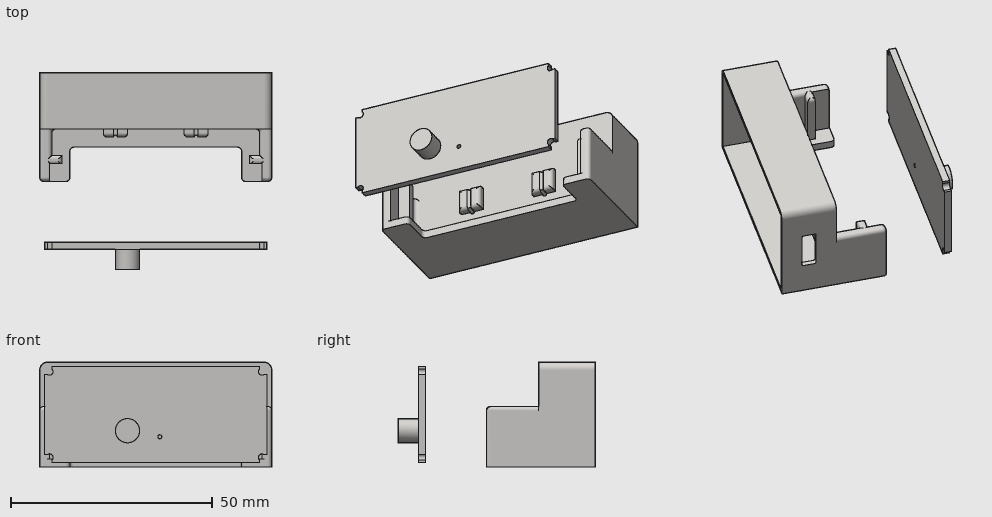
import cadquery as cq
import math


width = 57.5
box_height = 26.0
box_depth = 14.0
box_top_radius = 2.0
tray_depth = 13.0
tray_height = 15.0
tray_floor = 2.0
tray_wall = 3.0
edge_radius = 1.0
housing_depth = box_depth + tray_depth
half_width = width / 2
tray_half_width = half_width - tray_wall

side_wall = 1.25
cover_wall = 1.0
partition = 1.25

foot_width = 7.5
cutout_width = width - 2 * foot_width
cutout_depth = 8.5

rail_back = box_depth + 6.5
rail_width = 2.4
rail_reach = 5.55
relief_back = box_depth + 8.5
relief_wall = 2.5

clip_width = 6.0
clip_height = 6.0
clip_reach = 2.0
clip_base = 7.0
clip_spacing = 20.0
groove_radius = 0.5
clip_radius = 1.0

window_depth = 3.7
window_height = 9.7
window_from_back = 6.9
window_middle = box_height / 2
window_radius = 0.5

plate_width = 55.0
plate_height = 23.8
plate_thickness = 1.8
plate_back = 42.0
plate_middle = box_height / 2
notch_width = 1.75
notch_height = 1.95
notch_round_radius = 0.86
notch_round_inset_x = 1.2
notch_round_inset_z = 1.3
knob_diameter = 6.0
knob_x = -7.0
knob_z = 9.0
knob_front = 48.8
pinhole_diameter = 1.0
pinhole_x = 1.0
pinhole_z = 7.5


def block(x_range, depth_range, z_range):
    """Box between two X values, two depths measured from the back, and two Z values."""
    x_low, x_high = x_range
    near_back, near_front = depth_range
    z_low, z_high = z_range
    return (
        cq.Workplane("XY")
        .box(x_high - x_low, near_front - near_back, z_high - z_low, centered=False)
        .translate((x_low, -near_front, z_low))
    )


def box_shell():
    """Round-topped box, before the cavity is cut."""
    outer = block((-half_width, half_width), (0, box_depth), (0, box_height))
    return outer.edges("|Y and >Z").fillet(box_top_radius)


def cavity():
    """Hollow of the box, open at the back."""
    inner_half = half_width - side_wall
    return block(
        (-inner_half, inner_half),
        (0, box_depth - partition),
        (cover_wall, box_height - cover_wall),
    )


def window():
    """Upright window with rounded corners through the -X wall of the box."""
    return (
        block(
            (-half_width, -half_width + side_wall),
            (window_from_back - window_depth / 2, window_from_back + window_depth / 2),
            (window_middle - window_height / 2, window_middle + window_height / 2),
        )
        .edges("|X")
        .fillet(window_radius)
    )


def tray_floor_plate():
    """Tray floor, cut out at the front between two feet, with rounded upright corners."""
    floor = block((-half_width, half_width), (box_depth, housing_depth), (0, tray_floor))
    cutout = block(
        (-cutout_width / 2, cutout_width / 2),
        (housing_depth - cutout_depth, housing_depth),
        (0, tray_floor),
    )
    return floor.cut(cutout).edges("|Z and (not >Y)").fillet(edge_radius)


def wall_blend():
    """Rounded inner corner between the -X tray wall and the box, flaring out into the wall's top edge."""
    axis_x = -tray_half_width + edge_radius
    axis_depth = box_depth + edge_radius
    corner = block((axis_x - 2 * edge_radius, axis_x), (box_depth, axis_depth), (0, tray_height))
    flare_start = tray_height - edge_radius
    flare_middle = (
        edge_radius * (2 - math.sqrt(0.5)),
        flare_start + edge_radius * math.sqrt(0.5),
    )
    hollow = (
        cq.Workplane("XZ")
        .lineTo(edge_radius, 0)
        .lineTo(edge_radius, flare_start)
        .threePointArc(flare_middle, (2 * edge_radius, tray_height))
        .lineTo(0, tray_height)
        .close()
        .revolve(360, (0, 0, 0), (0, 1, 0))
        .translate((axis_x, -axis_depth, 0))
    )
    return corner.cut(hollow)


def tray_side_wall():
    """Tray wall on -X with its guide rail, rounded along its top and front edges and blended into the box."""
    wall = block((-half_width, -tray_half_width), (box_depth, housing_depth), (0, tray_height))
    wall = wall.edges("|Z and <Y").fillet(edge_radius)
    rail = block(
        (-tray_half_width, -half_width + rail_reach),
        (rail_back, rail_back + rail_width),
        (0, tray_height),
    )
    wall = wall.union(rail)
    wall = wall.faces(">Z").edges("not (>Y and |X)").fillet(edge_radius)
    relief = block(
        (-half_width + relief_wall, -half_width + rail_reach),
        (relief_back, housing_depth),
        (tray_floor, tray_height),
    )
    return wall.cut(relief).union(wall_blend())


def clip():
    """Snap clip on the box front, with the four edges of its front face rounded."""
    body = block(
        (-clip_width / 2, clip_width / 2),
        (box_depth, box_depth + clip_reach),
        (clip_base, clip_base + clip_height),
    )
    return body.faces("<Y").edges().fillet(clip_radius)


def clip_groove():
    """Round groove over the top, front and bottom of a clip; its ends run on through the box wall."""
    inside = -box_depth + partition
    top = clip_base + clip_height
    groove = (
        cq.Workplane("XY", origin=(0, -box_depth - clip_reach, clip_base - groove_radius))
        .circle(groove_radius)
        .extrude(clip_height + 2 * groove_radius)
    )
    for height in (clip_base, top):
        bore = (
            cq.Workplane("XZ", origin=(0, inside, height))
            .circle(groove_radius)
            .extrude(partition + clip_reach + groove_radius)
        )
        groove = groove.union(bore)
    return groove


def make_housing():
    """Hollow box with the open tray, its two side walls and the two grooved clips in front of it."""
    body = box_shell()
    left_wall = tray_side_wall()
    body = body.union(left_wall).union(left_wall.mirror("YZ"))
    body = body.cut(cavity()).cut(window())
    body = body.union(tray_floor_plate())
    for side in (-1, 1):
        place = (side * clip_spacing / 2, 0, 0)
        body = body.union(clip().translate(place)).cut(clip_groove().translate(place))
    return body


def corner_notch():
    """Notch for the -X, -Z plate corner at the origin: a rectangle joined with a round relief."""
    corner = cq.Workplane("XZ").rect(notch_width, notch_height, centered=False).extrude(plate_thickness)
    relief = (
        cq.Workplane("XZ")
        .center(notch_round_inset_x, notch_round_inset_z)
        .circle(notch_round_radius)
        .extrude(plate_thickness)
    )
    return corner.union(relief)


def make_plate():
    """Front plate with notched corners, a knob and a pinhole, standing clear of the housing."""
    plate_front = plate_back + plate_thickness
    plate = block(
        (-plate_width / 2, plate_width / 2),
        (plate_back, plate_front),
        (plate_middle - plate_height / 2, plate_middle + plate_height / 2),
    )
    lower_left = corner_notch().translate((-plate_width / 2, -plate_back, -plate_height / 2))
    lower = lower_left.union(lower_left.mirror("YZ"))
    notches = lower.union(lower.mirror("XY")).translate((0, 0, plate_middle))
    plate = plate.cut(notches)
    knob = (
        cq.Workplane("XZ", origin=(knob_x, -plate_front, knob_z))
        .circle(knob_diameter / 2)
        .extrude(knob_front - plate_front)
    )
    pinhole = (
        cq.Workplane("XZ", origin=(pinhole_x, -plate_back, pinhole_z))
        .circle(pinhole_diameter / 2)
        .extrude(plate_thickness)
    )
    return plate.union(knob).cut(pinhole)


housing = make_housing()
plate = make_plate()
result = cq.Compound.makeCompound([housing.val(), plate.val()])